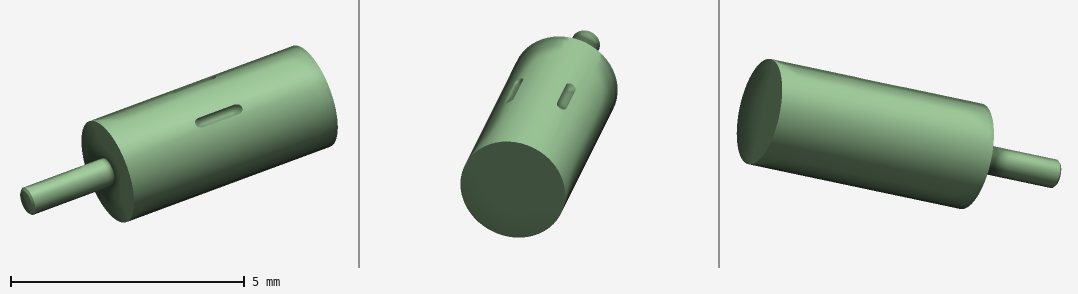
import cadquery as cq

total_length = 7.0
pin_length = 2.0
body_length = total_length - pin_length
body_diameter = 2.3
pin_diameter = 0.62
pin_chamfer = 0.05

groove_width = 0.23
groove_straight_length = 0.805
groove_end_length = 0.17
groove_angle = 30.0
groove_from_shoulder = 2.4

body_radius = body_diameter / 2
groove_radius = groove_width / 2
end_axis_height = (groove_end_length**2 - groove_radius**2) / groove_width

shoulder_y = -total_length / 2 + pin_length
groove_y = shoulder_y + groove_from_shoulder


def make_body():
    return cq.Workplane("XZ", origin=(0, shoulder_y, 0)).circle(body_radius).extrude(-body_length)


def make_pin():
    pin = cq.Workplane("XZ", origin=(0, shoulder_y, 0)).circle(pin_diameter / 2).extrude(pin_length)
    return pin.faces("<Y").chamfer(pin_chamfer)


def groove_section(y):
    """U-shaped cross section, with its half-round floor centred on the body surface."""
    return (
        cq.Workplane("XZ", origin=(0, y, body_radius))
        .moveTo(-groove_radius, end_axis_height)
        .lineTo(-groove_radius, 0)
        .threePointArc((0, -groove_radius), (groove_radius, 0))
        .lineTo(groove_radius, end_axis_height)
        .close()
    )


def groove_cutter(angle):
    """Straight groove with rising ends, turned about the body axis from the top line."""
    half_length = groove_straight_length / 2
    cutter = groove_section(groove_y + half_length).extrude(groove_straight_length)
    for side in (-1, 1):
        end = groove_section(groove_y + side * half_length).revolve(
            360, (0, end_axis_height, 0), (1, end_axis_height, 0)
        )
        cutter = cutter.union(end)
    return cutter.rotate((0, 0, 0), (0, 1, 0), angle)


result = make_body().union(make_pin())
for angle in (-groove_angle, groove_angle):
    result = result.cut(groove_cutter(angle))